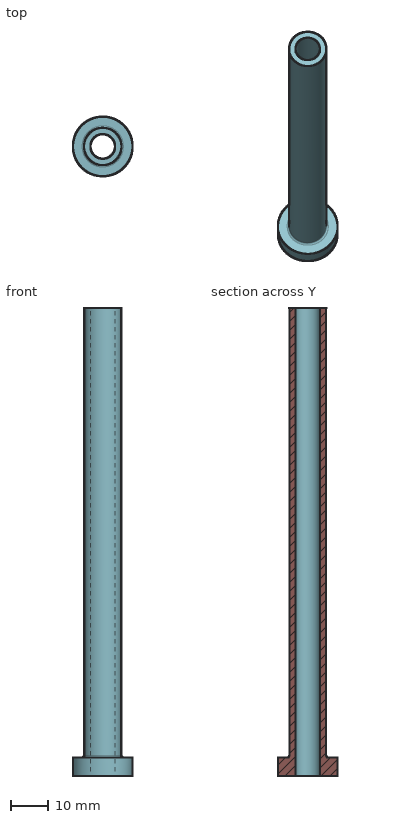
import cadquery as cq

total_length = 125.0
head_diameter = 16.0
head_height = 5.0
shaft_diameter = 10.0
bore_diameter = 6.5
neck_fillet = 0.5

head_radius = head_diameter / 2
shaft_radius = shaft_diameter / 2
bore_radius = bore_diameter / 2

half_section = (
    cq.Workplane("XZ")
    .moveTo(bore_radius, 0)
    .lineTo(head_radius, 0)
    .lineTo(head_radius, head_height)
    .lineTo(shaft_radius + neck_fillet, head_height)
    .radiusArc((shaft_radius, head_height + neck_fillet), neck_fillet)
    .lineTo(shaft_radius, total_length)
    .lineTo(bore_radius, total_length)
    .close()
)

result = half_section.revolve(360, (0, 0, 0), (0, 1, 0))